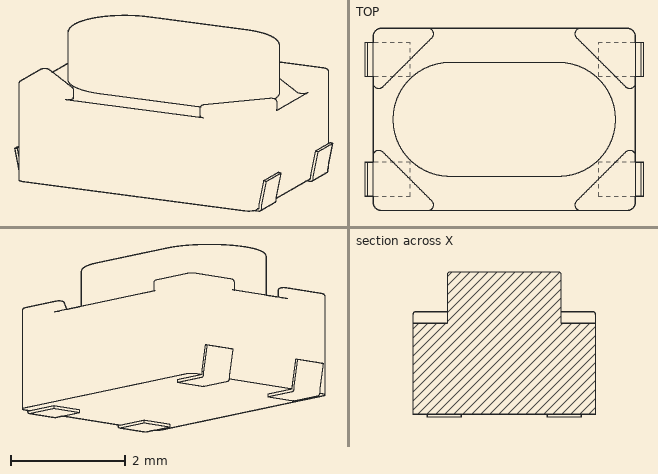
import cadquery as cq
import math

body_length = 4.6
body_width = 3.2
deck_height = 1.6
body_corner_radius = 0.15

post_height = 0.2
post_leg = 1.2
post_tip_radius = 0.1
post_top_fillet = 0.05

button_length = 3.9
button_width = 2.0
button_top = 2.5
button_top_fillet = 0.05

lead_thickness = 0.05
lead_width = 0.6
lead_spacing = 2.1
lead_span = 4.89
foot_inner_x = 1.65
upright_height = 0.05
arm_lean = math.radians(11.7)

MIRRORED_SIDES = (-1, 1)


def make_housing():
    """Block with rounded vertical corners, up to the deck."""
    block = cq.Workplane("XY").box(body_length, body_width, deck_height, centered=(True, True, False))
    return block.edges("|Z").fillet(body_corner_radius)


def make_post(side_x, side_y):
    """Triangular post whose right-angled corner coincides with a housing corner."""
    corner_x = side_x * body_length / 2
    corner_y = side_y * body_width / 2
    right_angle = (corner_x, corner_y)
    tip_along_x = (corner_x - side_x * post_leg, corner_y)
    tip_along_y = (corner_x, corner_y - side_y * post_leg)
    post = (
        cq.Workplane("XY")
        .workplane(offset=deck_height)
        .polyline([right_angle, tip_along_x, tip_along_y])
        .close()
        .extrude(post_height)
    )
    edge_middle_z = deck_height + post_height / 2
    edge_radii = (
        (right_angle, body_corner_radius),
        (tip_along_x, post_tip_radius),
        (tip_along_y, post_tip_radius),
    )
    for (edge_x, edge_y), radius in edge_radii:
        edge = cq.selectors.NearestToPointSelector((edge_x, edge_y, edge_middle_z))
        post = post.edges("|Z").edges(edge).fillet(radius)
    return post.faces(">Z").edges().fillet(post_top_fillet)


def make_button():
    """Stadium-shaped plunger with a softened top rim."""
    button = (
        cq.Workplane("XY")
        .workplane(offset=deck_height)
        .slot2D(button_length, button_width)
        .extrude(button_top - deck_height)
    )
    return button.faces(">Z").edges().fillet(button_top_fillet)


def make_lead(side_x, side_y):
    """Bent strip: foot on the underside, upright on the end wall, arm leaning outward."""
    wall_x = body_length / 2
    upright_x = wall_x + lead_thickness
    arm_tip_x = lead_span / 2
    arm_tip_z = upright_height + (arm_tip_x - upright_x) / math.tan(arm_lean)
    arm_tip_inner_x = arm_tip_x - lead_thickness * math.cos(arm_lean)
    arm_tip_inner_z = arm_tip_z + lead_thickness * math.sin(arm_lean)
    bend_inner_z = upright_height + lead_thickness * math.tan(arm_lean / 2)
    bend_offset = lead_thickness * math.sqrt(0.5)
    return (
        cq.Workplane("XZ", origin=(0, side_y * lead_spacing / 2, 0))
        .moveTo(side_x * foot_inner_x, 0)
        .lineTo(side_x * foot_inner_x, -lead_thickness)
        .lineTo(side_x * wall_x, -lead_thickness)
        .threePointArc((side_x * (wall_x + bend_offset), -bend_offset), (side_x * upright_x, 0))
        .lineTo(side_x * upright_x, upright_height)
        .lineTo(side_x * arm_tip_x, arm_tip_z)
        .lineTo(side_x * arm_tip_inner_x, arm_tip_inner_z)
        .lineTo(side_x * wall_x, bend_inner_z)
        .lineTo(side_x * wall_x, 0)
        .close()
        .extrude(lead_width / 2, both=True)
    )


result = make_housing().union(make_button())
for side_x in MIRRORED_SIDES:
    for side_y in MIRRORED_SIDES:
        result = result.union(make_post(side_x, side_y))
        result = result.union(make_lead(side_x, side_y))